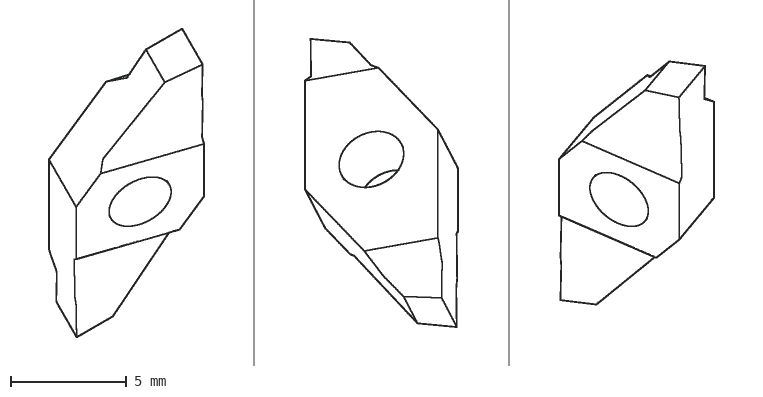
import cadquery as cq

thickness = 3.0
width = 6.0
height = 15.0
hole_diameter = 2.91

half_width = width / 2
half_height = height / 2
half_thickness = thickness / 2
corner_z = 0.96
tip_y = 1.22
tip_z = 7.0
edge_relief = 0.05
relief_start_z = 5.0
relief_end_z = 5.46

face_fall_z = 0.035
left_tip_x = -0.81
left_fall_y = 0.04
right_tip_x = 1.45
right_fall_y = 0.045

left_wall_z = 4.8
right_wall_z = 2.42
right_wall_rise = 0.04
root_radius = 0.12

cutter_size = 4 * height


def half_space(point, normal):
    """Large block on the normal's side of a plane through the point."""
    plane = cq.Plane(origin=point, normal=normal)
    return cq.Workplane(plane).rect(cutter_size, cutter_size).extrude(cutter_size)


def rounded_recess(face, wall):
    """Space outside both planes, rounded along the edge where they meet."""
    cutter = face.intersect(wall)
    axis_point = cq.Vertex.makeVertex(0, 0, 0)
    root_edge = min(cutter.edges().vals(), key=axis_point.distance)
    return cutter.newObject([root_edge]).fillet(root_radius)


def half_turn(shape):
    return shape.rotate((0, 0, 0), (1, 0, 0), 180)


def make_blank():
    half_outline = [
        (-half_width, corner_z),
        (tip_y, tip_z),
        (half_width - edge_relief, half_height),
        (half_width - edge_relief, relief_end_z),
        (half_width, relief_start_z),
    ]
    outline = half_outline + [(-y, -z) for y, z in half_outline]
    blank = cq.Workplane("YZ").polyline(outline).close().extrude(half_thickness, both=True)
    hole = cq.Workplane("YZ").circle(hole_diameter / 2).extrude(thickness, both=True)
    return blank.cut(hole)


def left_recess():
    face = half_space((left_tip_x, half_width, half_height), (-1, -left_fall_y, -face_fall_z))
    wall = half_space((-half_thickness, 0, left_wall_z), (-1, 0, 1))
    return rounded_recess(face, wall)


def right_recess():
    face = half_space((right_tip_x, half_width, half_height), (1, -right_fall_y, -face_fall_z))
    wall = half_space((half_thickness, half_width, right_wall_z), (1, right_wall_rise, 1))
    return rounded_recess(face, wall)


result = make_blank()
for recess in (left_recess(), right_recess()):
    result = result.cut(recess).cut(half_turn(recess))